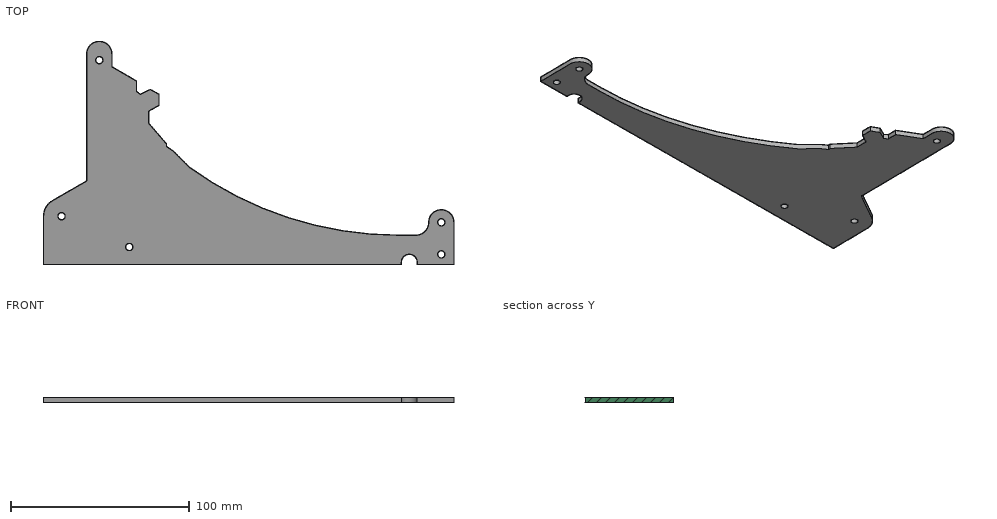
import cadquery as cq
import math

length = 230.5
height = 125.5
thickness = 3.0
hole_diameter = 4.0

tab_radius = 7.1
upright_left = 24.2
upright_right = upright_left + 2 * tab_radius
upper_tab_y = height - tab_radius
upper_hole = (upright_left + tab_radius, 114.8)
right_tab_x = length - tab_radius
right_tab_y = 23.7
lower_right_hole_y = 5.8
middle_hole = (48.2, 10.0)

corner_radius = 10.1
corner_y = 27.2
slope_angle = math.radians(30)

shoulder_top = 111.1
shoulder_x = 52.3
shoulder_y = shoulder_top - (shoulder_x - upright_right) * math.tan(slope_angle)
hook_points = [
    (shoulder_x, 97.3),
    (54.5, 95.7),
    (60.0, 98.5),
    (65.0, 95.7),
    (65.0, 89.5),
    (59.2, 86.2),
    (59.2, 79.3),
    (69.2, 67.8),
    (69.2, 66.5),
    (72.8, 63.9),
]

arm_top = right_tab_y - tab_radius
sweep_radius = 199.9
sweep_x = 199.5
sweep_y = arm_top + sweep_radius
sweep_start_x = 81.8

notch_x = 205.5
notch_y = 1.4
notch_radius = 4.4


def on_circle(center_x, center_y, radius, angle):
    return (center_x + radius * math.cos(angle), center_y + radius * math.sin(angle))


def plate():
    corner_end = on_circle(corner_radius, corner_y, corner_radius, math.pi / 2 + slope_angle)
    corner_middle = on_circle(
        corner_radius, corner_y, corner_radius, math.pi - (math.pi / 2 - slope_angle) / 2
    )
    slope_top = corner_end[1] + (upright_left - corner_end[0]) * math.tan(slope_angle)

    start_angle = -math.acos((sweep_start_x - sweep_x) / sweep_radius)
    sweep_start = on_circle(sweep_x, sweep_y, sweep_radius, start_angle)
    sweep_middle = on_circle(
        sweep_x, sweep_y, sweep_radius, (start_angle - math.pi / 2) / 2
    )

    tab_left = right_tab_x - tab_radius
    fillet_x = tab_left - tab_radius
    fillet_middle = on_circle(fillet_x, right_tab_y, tab_radius, -math.pi / 4)

    outline = (
        cq.Workplane("XY")
        .lineTo(0, corner_y)
        .threePointArc(corner_middle, corner_end)
        .lineTo(upright_left, slope_top)
        .lineTo(upright_left, upper_tab_y)
        .threePointArc((upright_left + tab_radius, height), (upright_right, upper_tab_y))
        .lineTo(upright_right, shoulder_top)
        .lineTo(shoulder_x, shoulder_y)
    )
    for point in hook_points:
        outline = outline.lineTo(*point)
    return (
        outline.lineTo(*sweep_start)
        .threePointArc(sweep_middle, (sweep_x, arm_top))
        .lineTo(fillet_x, arm_top)
        .threePointArc(fillet_middle, (tab_left, right_tab_y))
        .threePointArc((right_tab_x, right_tab_y + tab_radius), (length, right_tab_y))
        .lineTo(length, 0)
        .close()
        .extrude(thickness)
    )


def holes():
    centers = [
        upper_hole,
        (corner_radius, corner_y),
        middle_hole,
        (right_tab_x, right_tab_y),
        (right_tab_x, lower_right_hole_y),
    ]
    return cq.Workplane("XY").pushPoints(centers).circle(hole_diameter / 2).extrude(thickness)


def notch():
    return (
        cq.Workplane("XY")
        .moveTo(notch_x - notch_radius, 0)
        .lineTo(notch_x - notch_radius, notch_y)
        .threePointArc((notch_x, notch_y + notch_radius), (notch_x + notch_radius, notch_y))
        .lineTo(notch_x + notch_radius, 0)
        .close()
        .extrude(thickness)
    )


result = plate().cut(holes()).cut(notch())